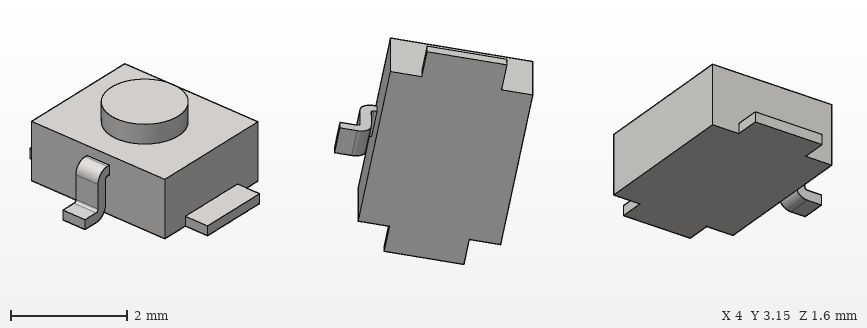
import cadquery as cq

body_length = 3.0
body_width = 2.5
body_height = 1.2

button_diameter = 1.5
button_height = 0.4

metal_thickness = 0.2
tab_span = 4.0
tab_width = 1.4

lead_width = 0.5
lead_reach = 0.65
lead_top = 1.0
lead_straight = 0.05
inner_bend_radius = 0.05
outer_bend_radius = inner_bend_radius + metal_thickness


def make_body():
    return cq.Workplane("XY").box(body_length, body_width, body_height, centered=(True, True, False))


def make_button():
    return (
        cq.Workplane("XY")
        .workplane(offset=body_height)
        .circle(button_diameter / 2)
        .extrude(button_height)
    )


def make_side_tabs():
    """One flat strip through the housing, showing as a tab at each X end."""
    return cq.Workplane("XY").box(tab_span, tab_width, metal_thickness, centered=(True, True, False))


def make_ground_lead():
    """S-bent strip: out of the -Y wall, down to the base and out again as a foot."""
    wall_y = -body_width / 2
    tip_y = wall_y - lead_reach
    upper_bend_y = wall_y - lead_straight
    shank_outer_y = upper_bend_y - outer_bend_radius
    shank_inner_y = upper_bend_y - inner_bend_radius
    lower_bend_y = shank_inner_y - outer_bend_radius

    upper_bend_z = lead_top - outer_bend_radius
    lower_bend_z = outer_bend_radius

    return (
        cq.Workplane("YZ")
        .moveTo(wall_y, lead_top)
        .lineTo(upper_bend_y, lead_top)
        .radiusArc((shank_outer_y, upper_bend_z), -outer_bend_radius)
        .lineTo(shank_outer_y, lower_bend_z)
        .radiusArc((lower_bend_y, metal_thickness), inner_bend_radius)
        .lineTo(tip_y, metal_thickness)
        .lineTo(tip_y, 0)
        .lineTo(lower_bend_y, 0)
        .radiusArc((shank_inner_y, lower_bend_z), -outer_bend_radius)
        .lineTo(shank_inner_y, upper_bend_z)
        .radiusArc((upper_bend_y, lead_top - metal_thickness), inner_bend_radius)
        .lineTo(wall_y, lead_top - metal_thickness)
        .close()
        .extrude(lead_width / 2, both=True)
    )


result = (
    make_body()
    .union(make_button())
    .union(make_side_tabs())
    .union(make_ground_lead())
)